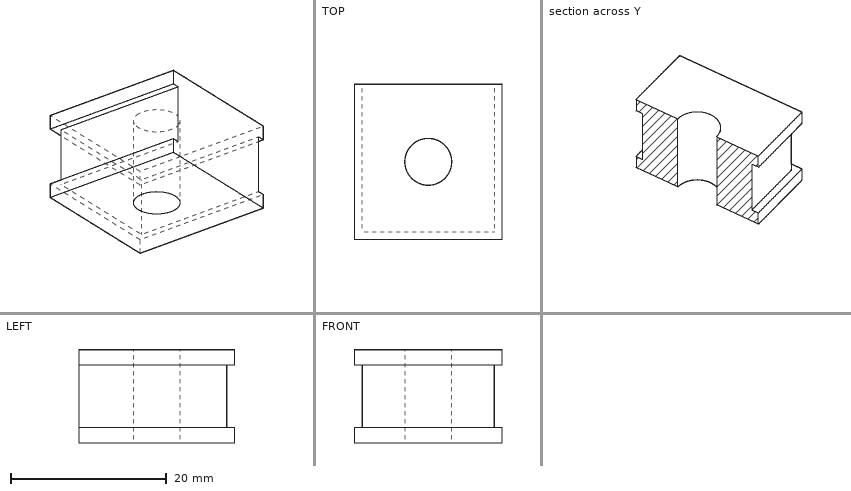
import cadquery as cq

width = 19.0
depth = 20.0
height = 12.0

flange_thickness = 2.0
groove_depth = 1.0

bore_diameter = 6.0

core_width = width - 2 * groove_depth
core_depth = depth - groove_depth
core_height = height - 2 * flange_thickness


def make_flange(bottom_z):
    """Full-size rectangular plate with its underside at bottom_z."""
    return (
        cq.Workplane("XY")
        .workplane(offset=bottom_z)
        .rect(width, depth)
        .extrude(flange_thickness)
    )


def make_core():
    """Block between the flanges, set back on -X, +X and -Y and flush on +Y."""
    return (
        cq.Workplane("XY")
        .workplane(offset=flange_thickness)
        .center(0, groove_depth / 2)
        .rect(core_width, core_depth)
        .extrude(core_height)
    )


def make_bore():
    """Vertical through hole on the centre of the flanges."""
    return cq.Workplane("XY").circle(bore_diameter / 2).extrude(height)


bottom_flange = make_flange(0)
top_flange = make_flange(height - flange_thickness)

result = bottom_flange.union(make_core()).union(top_flange).cut(make_bore())